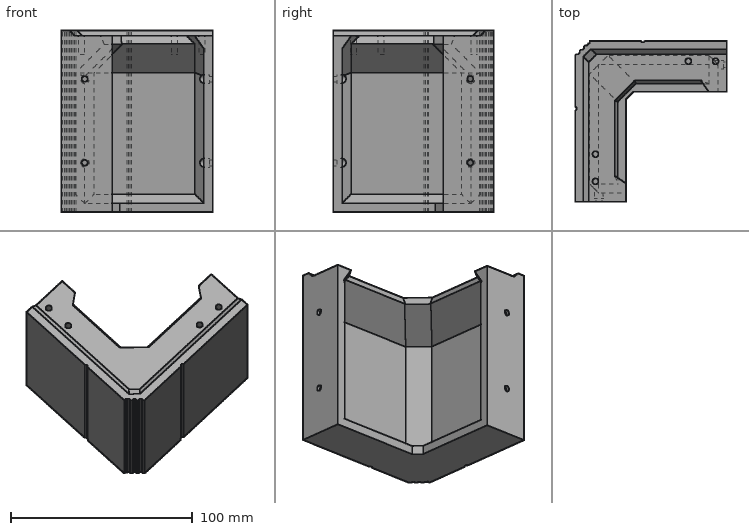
import cadquery as cq
import math

LENGTH_X = 83.5
LENGTH_Y = 88.5
HEIGHT = 100.0
ARM_WIDTH = 28.0
OUTER_CHAMFER = 8.0
CORNER_STEP = 1.3
INNER_CHAMFER = 4.2

RIM_WIDTH = 4.5
LEDGE_DROP = 3.0
RIM_CORNER_SUM = 13.2

WALL = 7.8
END_WALL = 5.0
POCKET_CHAMFER = 5.0
CORNER_FILL = 10.2
MOUTH_CHAMFER = 6.3
MOUTH_CORNER_SUM = 54.8
MOUTH_ANGLE = 22.5

LEDGE_HOLE_DIAMETER = 3.3
LEDGE_HOLE_DEPTH = 10.0
LEDGE_HOLE_INSET = 11.2
LEDGE_HOLE_PLACES = (62.3, 77.3)
END_HOLE_DIAMETER = 3.2
END_HOLE_INSET = 13.0
END_HOLE_HEIGHTS = (27.2, 73.3)
COUNTERBORE_DIAMETER = 4.7
COUNTERBORE_FLOOR = 2.0

GROOVE_MOUTH = 2.4
GROOVE_FLOOR = 1.0
GROOVE_DEPTH = 0.7
SIDE_GROOVE_PLACE = 37.3
CORNER_GROOVE_PITCH = 3.4

LEDGE_Z = HEIGHT - LEDGE_DROP
SPACE = 3 * HEIGHT
REACH = 3 * SPACE


def beyond(x_part, depth_part, z_part, limit):
    """Half-space x_part*x + depth_part*depth + z_part*z >= limit."""
    normal = cq.Vector(x_part, -depth_part, z_part)
    origin = normal * (limit / normal.Length**2)
    return cq.Workplane(cq.Plane(origin=origin, normal=normal)).rect(REACH, REACH).extrude(REACH)


def common(half_spaces):
    """Region shared by all the half-spaces, within the space around the part."""
    region = cq.Workplane("XY").box(SPACE, SPACE, SPACE)
    for half_space in half_spaces:
        region = region.intersect(beyond(*half_space))
    return region


def make_body():
    outline = [
        (OUTER_CHAMFER, 0),
        (LENGTH_X, 0),
        (LENGTH_X, -ARM_WIDTH),
        (ARM_WIDTH + INNER_CHAMFER, -ARM_WIDTH),
        (ARM_WIDTH, -ARM_WIDTH - INNER_CHAMFER),
        (ARM_WIDTH, -LENGTH_Y),
        (0, -LENGTH_Y),
        (0, -OUTER_CHAMFER),
        (OUTER_CHAMFER - CORNER_STEP, -CORNER_STEP),
        (OUTER_CHAMFER, -CORNER_STEP),
    ]
    return cq.Workplane("XY").polyline(outline).close().extrude(HEIGHT)


def make_ledge():
    """Everything above the ledge, inside the 45 degree rim slopes."""
    return common([
        (0, 0, 1, LEDGE_Z),
        (1, 0, 1, RIM_WIDTH + HEIGHT),
        (0, 1, 1, RIM_WIDTH + HEIGHT),
        (1, 1, 2, RIM_CORNER_SUM + 2 * HEIGHT),
    ])


def make_pocket():
    end_x = LENGTH_X - END_WALL
    end_depth = LENGTH_Y - END_WALL
    back_end_x = end_x - POCKET_CHAMFER
    back_end_depth = end_depth - POCKET_CHAMFER
    roof_rise = LEDGE_Z - ARM_WIDTH
    tilt = math.sqrt(0.5)
    walls = [
        (1, 0, 0, WALL),
        (0, 1, 0, WALL),
        (1, 1, 0, 2 * WALL + CORNER_FILL),
        (0, 0, 1, END_WALL),
        (-1, 0, 0, -end_x),
        (0, -1, 0, -end_depth),
        (1, 0, 1, WALL + END_WALL + POCKET_CHAMFER),
        (0, 1, 1, WALL + END_WALL + POCKET_CHAMFER),
        (-1, 1, 0, WALL - back_end_x),
        (1, -1, 0, WALL - back_end_depth),
        (-1, tilt, -tilt, -back_end_x - tilt * roof_rise),
        (tilt, -1, -tilt, -back_end_depth - tilt * roof_rise),
    ]
    roof = [
        (1, 0, -1, -roof_rise),
        (0, 1, -1, -roof_rise),
        (1, 1, -2, CORNER_FILL - 2 * roof_rise),
    ]
    mouth_inset = ARM_WIDTH - MOUTH_CHAMFER
    mouth_slope = math.tan(math.radians(MOUTH_ANGLE))
    corner_slope = math.sqrt(6) - 2
    mouth = [
        (1, 0, mouth_slope, mouth_inset + mouth_slope * LEDGE_Z),
        (0, 1, mouth_slope, mouth_inset + mouth_slope * LEDGE_Z),
        (1, 1, corner_slope, MOUTH_CORNER_SUM + corner_slope * LEDGE_Z),
    ]
    return common(walls + roof).union(common(walls + mouth))


def drill(start, direction, diameter, depth):
    return cq.Workplane(cq.Solid.makeCylinder(diameter / 2, depth, start, direction))


def make_ledge_holes():
    holes = []
    for place in LEDGE_HOLE_PLACES:
        for x, y in ((place, -LEDGE_HOLE_INSET), (LEDGE_HOLE_INSET, -place)):
            start = cq.Vector(x, y, LEDGE_Z)
            holes.append(drill(start, cq.Vector(0, 0, -1), LEDGE_HOLE_DIAMETER, LEDGE_HOLE_DEPTH))
    return holes


def make_end_holes():
    """Holes through both arm ends, counterbored from inside the pocket."""
    reach_inside = END_WALL + POCKET_CHAMFER
    holes = []
    for z in END_HOLE_HEIGHTS:
        for start, inward in (
            (cq.Vector(LENGTH_X, -END_HOLE_INSET, z), cq.Vector(-1, 0, 0)),
            (cq.Vector(END_HOLE_INSET, -LENGTH_Y, z), cq.Vector(0, 1, 0)),
        ):
            seat = start + inward * COUNTERBORE_FLOOR
            holes.append(drill(start, inward, END_HOLE_DIAMETER, reach_inside))
            holes.append(drill(seat, inward, COUNTERBORE_DIAMETER, reach_inside - COUNTERBORE_FLOOR))
    return holes


def make_groove(x, y, angle):
    """Full-height groove in the face at (x, y) whose outward normal is at angle degrees."""
    section = [
        (0, -GROOVE_MOUTH / 2),
        (-GROOVE_DEPTH, -GROOVE_FLOOR / 2),
        (-GROOVE_DEPTH, GROOVE_FLOOR / 2),
        (0, GROOVE_MOUTH / 2),
    ]
    groove = cq.Workplane("XY").polyline(section).close().extrude(HEIGHT)
    return groove.rotate((0, 0, 0), (0, 0, 1), angle).translate((x, y, 0))


def make_grooves():
    grooves = [make_groove(SIDE_GROOVE_PLACE, 0, 90), make_groove(0, -SIDE_GROOVE_PLACE, 180)]
    for step in (-1, 0, 1):
        shift = step * CORNER_GROOVE_PITCH * math.sqrt(0.5)
        grooves.append(make_groove(OUTER_CHAMFER / 2 + shift, -OUTER_CHAMFER / 2 + shift, 135))
    return grooves


result = make_body().cut(make_ledge()).cut(make_pocket())
for cutter in make_ledge_holes() + make_end_holes() + make_grooves():
    result = result.cut(cutter)